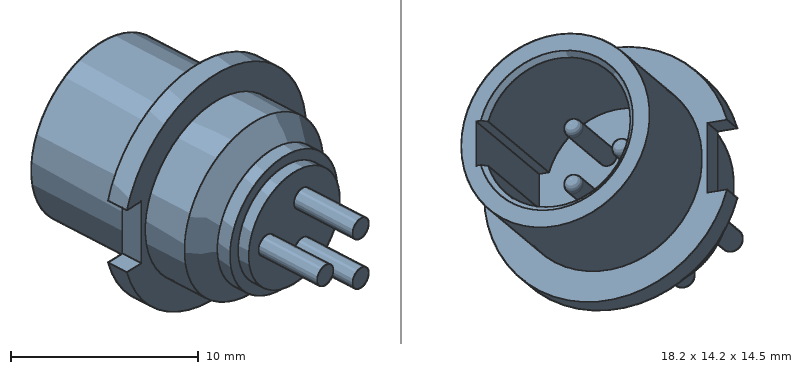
import cadquery as cq

total_length = 18.2
flange_start = 6.88
flange_end = 8.25
cone_start = 11.07
cone_end = 12.3
collar_end = 13.21
insert_end = 13.98

barrel_diameter = 11.0
flange_diameter = 14.47
collar_diameter = 8.5
insert_diameter = 7.2

socket_depth = flange_end
bore_radius = 4.24
mouth_chamfer = 0.3
keyway_reach = 4.62
keyway_width = 2.55

notch_floor = 5.8
notch_width = 4.0

pin_diameter = 1.04
pin_tip = 3.3
tail_diameter = 1.3
pair_y = 0.62
pair_z = 1.6
single_y = -2.18
contact_positions = [(pair_y, pair_z), (pair_y, -pair_z), (single_y, 0)]


def rod(start, end, diameter, y=0, z=0):
    """Cylinder parallel to X between two axial stations."""
    return (
        cq.Workplane("YZ", origin=(start, y, z))
        .circle(diameter / 2)
        .extrude(end - start)
    )


def shell_body():
    """Solid turned body: barrel, rear cone, collar and insert."""
    profile = [
        (0, 0),
        (0, barrel_diameter / 2),
        (cone_start, barrel_diameter / 2),
        (cone_end, collar_diameter / 2),
        (collar_end, collar_diameter / 2),
        (collar_end, insert_diameter / 2),
        (insert_end, insert_diameter / 2),
        (insert_end, 0),
    ]
    return cq.Workplane("XY").polyline(profile).close().revolve(360, (0, 0), (1, 0))


def notched_flange():
    """Flange disc with a rectangular notch on the -Y side."""
    notch_depth = flange_diameter / 2 - notch_floor
    notch = cq.Workplane("XY").box(
        flange_end - flange_start, notch_depth, notch_width, centered=(False, False, True)
    ).translate((flange_start, -flange_diameter / 2, 0))
    return rod(flange_start, flange_end, flange_diameter).cut(notch)


def socket_cavity():
    """Bore with a chamfered mouth and a keyway on the +Y side."""
    profile = [
        (0, 0),
        (0, bore_radius + mouth_chamfer),
        (mouth_chamfer, bore_radius),
        (socket_depth, bore_radius),
        (socket_depth, 0),
    ]
    bore = cq.Workplane("XY").polyline(profile).close().revolve(360, (0, 0), (1, 0))
    keyway = cq.Workplane("XY").box(
        socket_depth, keyway_reach, keyway_width, centered=(False, False, True)
    )
    return bore.union(keyway)


def contact(y, z):
    """Domed pin rooted in the insert and its solder tail."""
    tip_radius = pin_diameter / 2
    dome_center = pin_tip + tip_radius
    pin = rod(dome_center, insert_end, pin_diameter, y, z)
    dome = cq.Workplane("XY").sphere(tip_radius).translate((dome_center, y, z))
    tail = rod(collar_end, total_length, tail_diameter, y, z)
    return pin.union(dome).union(tail)


result = shell_body().union(notched_flange()).cut(socket_cavity())
for contact_y, contact_z in contact_positions:
    result = result.union(contact(contact_y, contact_z))